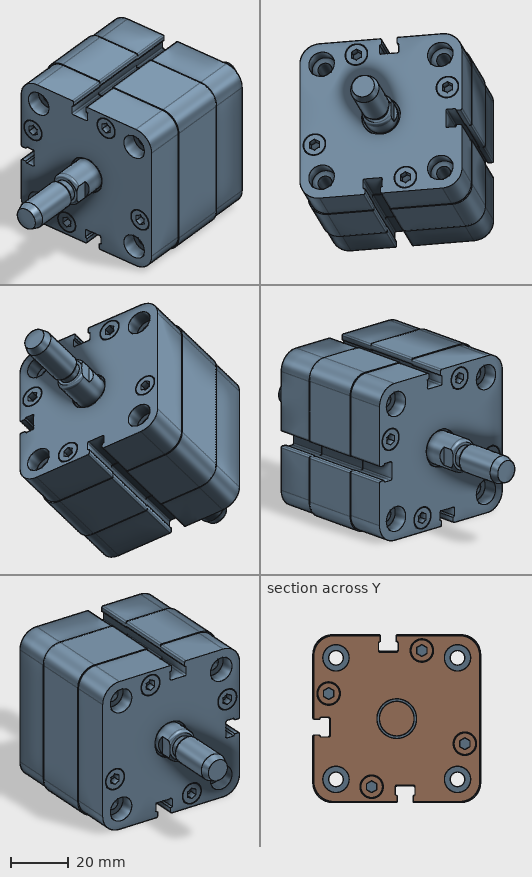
import cadquery as cq
import math


total_length = 112.5
cap_length = 14.7
tube_length = 21.0
body_length = tube_length + 2 * cap_length
front_shank_length = 11.7
stud_length = 21.8
rear_shank_length = total_length - body_length - front_shank_length - 2 * stud_length

front_tip_y = -total_length / 2
front_face_y = front_tip_y + stud_length + front_shank_length
rear_face_y = front_face_y + body_length
tube_start_y = front_face_y + cap_length

tube_width = 58.0
cap_width = 57.4
corner_radius = 7.0

slot_offset = 2.9
slot_depth = 5.7
slot_mouth_width = 5.4
slot_inner_width = 6.8
slot_lip = 2.0
slot_lip_bevel = 0.5
slot_edge_radius = 0.6
slot_angles = (0, 90, 180)

mount_spacing = 42.0
mount_hole_diameter = 5.0
mount_bore_diameter = 9.0
mount_bore_depth = 5.4

screw_side = 8.7
screw_height = 23.5
screw_pocket_diameter = 8.0
screw_head_diameter = 7.5
screw_gap_depth = 4.0
hex_across_flats = 3.5
hex_depth = 3.0
hex_half_angle = 30

shank_diameter = 12.0
shank_crown_length = 1.2
shank_crown_height = 1.0
shank_crown_radius = 1.4
thread_diameter = 10.0
neck_diameter = 8.0
neck_length = 3.2
thread_root_diameter = 8.5
thread_root_chamfer = 0.7
tip_diameter = 8.0
tip_length = 2.8
flat_spacing = 10.0
flat_length = 4.6
flat_runout = (shank_diameter - flat_spacing) / 2
rod_seal_diameter = 13.6
rod_seal_depth = 1.0


def extrude_along_y(section, start_y, length):
    """Extrude a section drawn in X and Z towards +Y, starting at start_y."""
    return section.extrude(-length).translate((0, start_y, 0))


def make_slot(half_width, start_y, length):
    """Undercut slot with a rounded mouth, open at the +Z face."""
    mouth = slot_mouth_width / 2
    inner = slot_inner_width / 2
    radius = slot_edge_radius
    lip_z = half_width - slot_lip
    bevel_z = lip_z - slot_lip_bevel
    floor_z = half_width - slot_depth
    section = (
        cq.Workplane("XZ")
        .moveTo(-mouth - radius, half_width)
        .radiusArc((-mouth, half_width - radius), radius)
        .lineTo(-mouth, lip_z)
        .lineTo(-inner, bevel_z)
        .lineTo(-inner, floor_z + radius)
        .radiusArc((-inner + radius, floor_z), -radius)
        .lineTo(inner - radius, floor_z)
        .radiusArc((inner, floor_z + radius), -radius)
        .lineTo(inner, bevel_z)
        .lineTo(mouth, lip_z)
        .lineTo(mouth, half_width - radius)
        .radiusArc((mouth + radius, half_width), radius)
        .close()
    )
    return extrude_along_y(section, start_y, length).translate((-slot_offset, 0, 0))


def make_body_section(width, start_y, length):
    """Rounded square block with a sensor slot on the top, -X and bottom sides."""
    block = extrude_along_y(cq.Workplane("XZ").rect(width, width), start_y, length)
    block = block.edges("|Y").fillet(corner_radius)
    slot = make_slot(width / 2, start_y, length)
    for angle in slot_angles:
        block = block.cut(slot.rotate((0, 0, 0), (0, -1, 0), angle))
    return block


def cylinders_along_y(points, diameter, start_y, length):
    return extrude_along_y(cq.Workplane("XZ").pushPoints(points).circle(diameter / 2), start_y, length)


def cut_mount_holes(body):
    """Through holes in the four corners, counterbored from both ends."""
    half = mount_spacing / 2
    corners = [(x, z) for x in (-half, half) for z in (-half, half)]
    body = body.cut(cylinders_along_y(corners, mount_hole_diameter, front_face_y, body_length))
    for start_y in (front_face_y, rear_face_y - mount_bore_depth):
        body = body.cut(cylinders_along_y(corners, mount_bore_diameter, start_y, mount_bore_depth))
    return body


def cut_screws(body):
    """Narrow ring gap and hexagon socket of each cap screw, on both end faces."""
    centres = [
        (screw_side, screw_height),
        (-screw_height, screw_side),
        (-screw_side, -screw_height),
        (screw_height, -screw_side),
    ]
    hex_across_corners = hex_across_flats / math.cos(math.radians(hex_half_angle))
    for gap_y, hex_y in (
        (front_face_y, front_face_y),
        (rear_face_y - screw_gap_depth, rear_face_y - hex_depth),
    ):
        pocket = cylinders_along_y(centres, screw_pocket_diameter, gap_y, screw_gap_depth)
        head = cylinders_along_y(centres, screw_head_diameter, gap_y, screw_gap_depth)
        body = body.cut(pocket.cut(head))
        for x, z in centres:
            hexagon = cq.Workplane("XZ").polygon(6, hex_across_corners)
            socket = extrude_along_y(hexagon, hex_y, hex_depth)
            socket = socket.rotate((0, 0, 0), (0, 1, 0), hex_half_angle)
            body = body.cut(socket.translate((x, 0, z)))
    return body


def cut_rod_seals(body):
    """Shallow clearance recess around the rod on both end faces."""
    for start_y in (front_face_y, rear_face_y - rod_seal_depth):
        body = body.cut(cylinders_along_y([(0, 0)], rod_seal_diameter, start_y, rod_seal_depth))
    return body


def make_rod_end(shank_length):
    """Rod end pointing to +Y, with the shank shoulder at shank_length and its root at Y = 0."""
    shank = shank_diameter / 2
    thread = thread_diameter / 2
    neck = neck_diameter / 2
    thread_y = shank_length + neck_length
    tip_y = shank_length + stud_length
    profile = (
        cq.Workplane("XY")
        .lineTo(shank, 0)
        .lineTo(shank, shank_length - shank_crown_length)
        .radiusArc((shank - shank_crown_height, shank_length), -shank_crown_radius)
        .lineTo(neck, shank_length)
        .lineTo(neck, thread_y - thread_root_chamfer)
        .lineTo(thread_root_diameter / 2, thread_y - thread_root_chamfer)
        .lineTo(thread, thread_y)
        .lineTo(thread, tip_y - tip_length)
        .lineTo(tip_diameter / 2, tip_y)
        .lineTo(0, tip_y)
        .close()
    )
    rod = profile.revolve(360, (0, 0, 0), (0, 1, 0))

    flat_start = shank_length - flat_length
    flat = (
        cq.Workplane("XY")
        .moveTo(flat_spacing / 2, shank_length)
        .lineTo(flat_spacing / 2, flat_start)
        .lineTo(shank, flat_start - flat_runout)
        .lineTo(shank, shank_length)
        .close()
        .extrude(shank, both=True)
    )
    return rod.cut(flat).cut(flat.mirror("YZ"))


body = make_body_section(tube_width, tube_start_y, tube_length)
for cap_y in (front_face_y, tube_start_y + tube_length):
    body = body.union(make_body_section(cap_width, cap_y, cap_length))
body = cut_mount_holes(body)
body = cut_screws(body)
body = cut_rod_seals(body)

rear_root_y = rear_face_y - rod_seal_depth
front_root_y = front_face_y + rod_seal_depth
rear_rod = make_rod_end(rear_shank_length + rod_seal_depth).translate((0, rear_root_y, 0))
front_rod = make_rod_end(front_shank_length + rod_seal_depth).mirror("XZ").translate((0, front_root_y, 0))

result = body.union(rear_rod).union(front_rod)